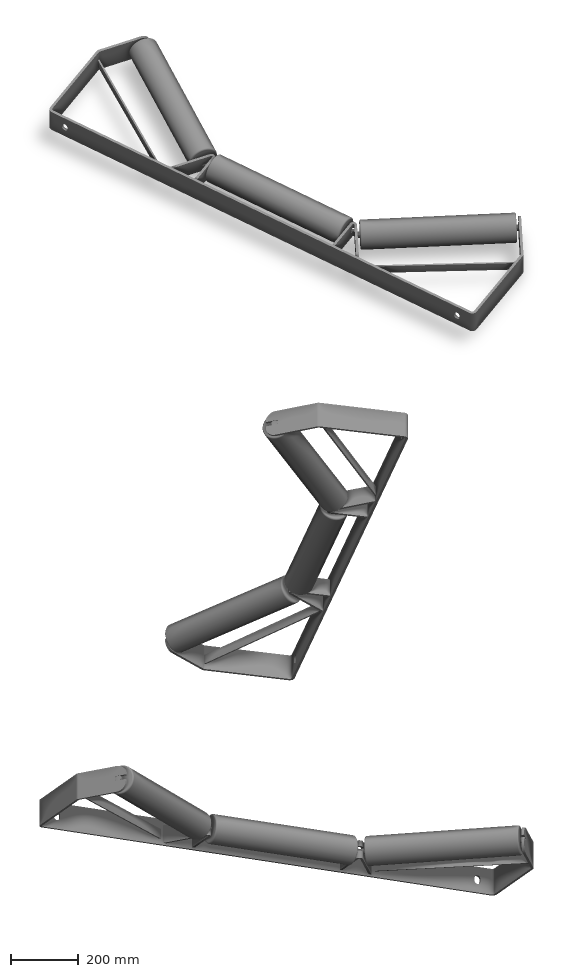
import cadquery as cq
import math

frame_length = 1490.0
bar_width = 80.0
bar_thickness = 8.0
bend_radius = 15.0
wall_height = 275.0
trough_angle = 35.0
arm_length = 167.0
arm_corner_radius = 30.0

mount_offset = 685.0
mount_slot_width = 20.0
mount_slot_height = 27.0

bracket_width = 55.0
bracket_bottom = 6.0
bracket_half_gap = 237.0
bracket_foot_x = 340.0
fold_radius = 11.0

brace_thickness = 5.0
brace_width = 30.0
brace_bottom = 18.0
brace_foot_x = 355.0
brace_top_y = 267.0

roller_diameter = 90.0
roller_length = 463.0
roller_edge_radius = 5.0
shaft_diameter = 20.0
shaft_flat_width = 14.2
middle_roller_y = 105.0
side_roller_x = 463.0
side_roller_y = 249.0
outer_axis_z = 42.0
inner_axis_z = 36.0

half_length = frame_length / 2
inner_wall_x = half_length - bar_thickness
angle = math.radians(trough_angle)
shaft_length = 2 * (bracket_half_gap + bar_thickness)
slot_span = shaft_length + 2 * bar_thickness
side_roller_z = (outer_axis_z + inner_axis_z) / 2
tilt = math.degrees(math.asin((outer_axis_z - inner_axis_z) / roller_length))


def bar_on_edge(face_points, thickness, width):
    """Bar standing on edge: one face follows face_points, the bar lies to their left, bends are mitred."""
    points = [cq.Vector(x, y, 0) for x, y in face_points]
    normals = []
    for start, end in zip(points, points[1:]):
        direction = (end - start).normalized()
        normals.append(cq.Vector(-direction.y, direction.x, 0))
    normals_before = normals[:1] + normals
    normals_after = normals + normals[-1:]
    far_points = []
    for point, before, after in zip(points, normals_before, normals_after):
        far_points.append(point + (before + after) * (thickness / (1 + before.dot(after))))
    outline = [(point.x, point.y) for point in points + far_points[::-1]]
    return cq.Workplane("XY").polyline(outline).close().extrude(width)


def round_bend(bar, x, y, radius):
    """Rounds the upright edge of a bar that stands at (x, y)."""
    reach = 0.1
    corner = cq.selectors.BoxSelector((x - reach, y - reach, 0), (x + reach, y + reach, bar_width))
    return bar.edges("|Z").edges(corner).fillet(radius)


def place_right(shape):
    """Moves a shape built along X at the origin onto the tilted axis of the right roller."""
    tilted = shape.rotate((0, 0, 0), (0, 1, 0), -tilt)
    turned = tilted.rotate((0, 0, 0), (0, 0, 1), trough_angle)
    return turned.translate((side_roller_x, side_roller_y, side_roller_z))


def place_middle(shape):
    """Moves a shape built along X at the origin onto the axis of the middle roller."""
    return shape.translate((0, middle_roller_y, inner_axis_z))


def make_channel():
    tip_x = half_length - arm_length * math.sin(angle)
    tip_y = wall_height + arm_length * math.cos(angle)
    outer_face = [(0, 0), (half_length, 0), (half_length, wall_height), (tip_x, tip_y)]
    bar = bar_on_edge(outer_face, bar_thickness, bar_width)

    inner_bend_y = wall_height - bar_thickness * math.tan(angle / 2)
    bar = round_bend(bar, half_length, 0, bend_radius)
    bar = round_bend(bar, inner_wall_x, bar_thickness, bend_radius - bar_thickness)
    bar = round_bend(bar, half_length, wall_height, bend_radius)
    bar = round_bend(bar, inner_wall_x, inner_bend_y, bend_radius - bar_thickness)

    roller_direction = cq.Vector(math.cos(angle), math.sin(angle), 0)
    return bar.edges(cq.selectors.ParallelDirSelector(roller_direction)).fillet(arm_corner_radius)


def make_bracket():
    apex_y = bar_thickness + (bracket_foot_x - bracket_half_gap) / math.tan(angle)
    outer_face = [(bracket_foot_x, bar_thickness), (bracket_half_gap, apex_y), (bracket_half_gap, 0)]
    bar = bar_on_edge(outer_face, bar_thickness, bracket_width)

    inner_fold_x = bracket_half_gap + bar_thickness
    inner_fold_y = apex_y - bar_thickness / math.tan(angle / 2)
    bar = round_bend(bar, bracket_half_gap, apex_y, fold_radius)
    bar = round_bend(bar, inner_fold_x, inner_fold_y, fold_radius - bar_thickness)
    return bar.translate((0, 0, bracket_bottom))


def make_brace():
    slope = (brace_top_y - bar_thickness) / (inner_wall_x - brace_foot_x)
    overrun = bar_thickness / 2
    start = (brace_foot_x - overrun / slope, bar_thickness - overrun)
    end = (inner_wall_x + overrun, brace_top_y + overrun * slope)
    return bar_on_edge([start, end], brace_thickness, brace_width).translate((0, 0, brace_bottom))


def shaft_slot():
    """Slot for both flattened ends of a shaft, open towards +Y."""
    slot = cq.Workplane("XY").box(slot_span, roller_diameter, shaft_flat_width)
    return slot.translate((0, (roller_diameter - shaft_diameter) / 2, 0))


def mount_slots():
    places = [(side * mount_offset, bar_width / 2) for side in (-1, 1)]
    face = cq.Workplane("XZ").pushPoints(places)
    return face.slot2D(mount_slot_height, mount_slot_width, 90).extrude(-bar_thickness)


def make_frame():
    right_half = make_channel().union(make_bracket()).union(make_brace())
    right_half = right_half.cut(place_right(shaft_slot()))
    frame = right_half.union(right_half.mirror("YZ"))
    return frame.cut(place_middle(shaft_slot())).cut(mount_slots())


def cylinder_along_x(diameter, length):
    return cq.Workplane("YZ", origin=(-length / 2, 0, 0)).circle(diameter / 2).extrude(length)


def make_roller():
    shell = cylinder_along_x(roller_diameter, roller_length)
    shell = shell.faces("|X").edges().fillet(roller_edge_radius)
    flats = cq.Workplane("XY").box(shaft_length, shaft_diameter, shaft_flat_width)
    shaft = cylinder_along_x(shaft_diameter, shaft_length).intersect(flats)
    return shell.union(shaft)


frame = make_frame()
right_roller = place_right(make_roller())
left_roller = right_roller.mirror("YZ")
middle_roller = place_middle(make_roller())
rollers = [left_roller, middle_roller, right_roller]

bodies = [frame.solids().val(), *[roller.solids().val() for roller in rollers]]
result = cq.Compound.makeCompound(bodies)